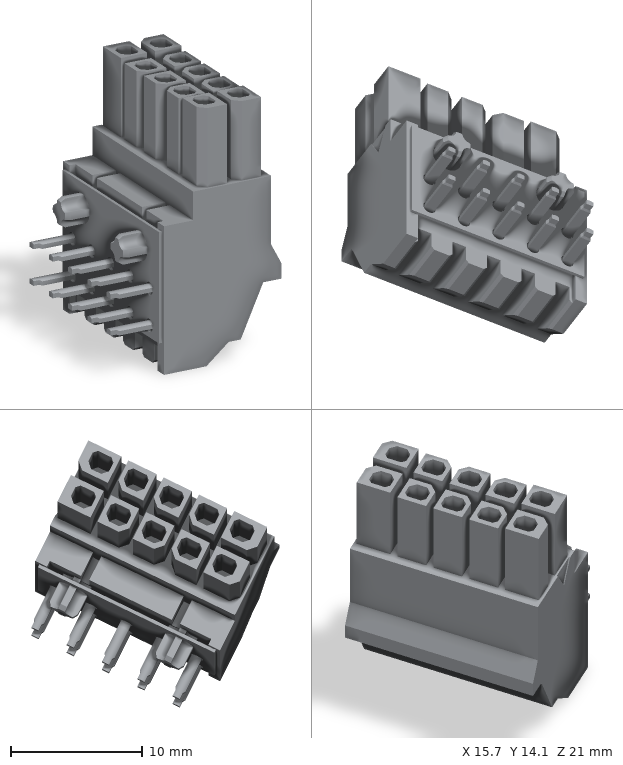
import math

import cadquery as cq

pitch = 3.0
columns = 5
body_width = 15.7
overall_height = 20.98
column_positions = [(i - (columns - 1) / 2) * pitch for i in range(columns)]

ledge_height = 12.15
shoulder_depth = 2.55
shoulder_height = 14.5
back_depth = 9.35
lip_depth = 10.25
lip_bottom = 5.92
lip_top = 7.2
lip_slope_top = 8.9
lip_root_depth = 8.67
underside_step = 1.62
step_back_depth = 6.7
step_front_depth = 5.65
base_depth = 3.7

recess_half_width = 6.85
recess_depth = 0.5
plate_width = 15.0
plate_thickness = 0.25
plate_bottom = 2.5
plate_top = 11.6

notch_width = 1.2
notch_chamfer = 0.25

slot_inner = 3.5
slot_outer = 4.2
slot_floor = 10.07
slot_fillet_width = 0.48
slot_fillet_height = 0.25

row_front_center = 4.48
row_back_center = row_front_center + pitch
post_depth = 2.3
post_half_width = 1.2
end_post_outer_half = 1.6
inner_post_top = 20.75
post_chamfer = 0.6
front_row_chamfers = (0, 1, 1, -1, 1)
back_row_chamfers = (-1, -1, -1, -1, 1)
socket_width = 1.75
socket_depth = 1.5
socket_back_chamfer = 0.3
socket_front_chamfer = 0.45

mark_width = 2.3
mark_height = 1.95
mark_depth = 0.1

peg_x = 4.5
peg_z = 9.5
peg_radius = 1.21
peg_reach = 2.25
peg_bevel_length = 0.38
peg_bevel_depth = 0.24
rib_half_width = 0.28
rib_root = 0.97
flute_radius = rib_root - rib_half_width

pin_hole_radius = 0.53
pin_lower_row_z = 3.48
pin_rows = (pin_lower_row_z, pin_lower_row_z + pitch)
pin_width = 0.85
pin_bottom = -0.15
pin_crown = 0.39
pin_crown_radius = 0.58
pin_shoulder = 3.1
tip_start = 3.3
tip_end = 3.8
tip_width = 0.6
tip_bottom = -0.08


def box(x_range, y_range, z_range):
    """Axis-aligned box between the given limits."""
    size = [b - a for a, b in (x_range, y_range, z_range)]
    return cq.Workplane("XY").box(*size, centered=False).translate((x_range[0], y_range[0], z_range[0]))


def front_plane(y):
    """Plane facing -Y at the given depth; extruding moves toward -Y."""
    return cq.Workplane("XZ", origin=(0, y, 0))


def make_body():
    profile = [
        (0, 0),
        (0, ledge_height),
        (shoulder_depth, ledge_height),
        (shoulder_depth, shoulder_height),
        (back_depth, shoulder_height),
        (back_depth, lip_slope_top),
        (lip_depth, lip_top),
        (lip_depth, lip_bottom),
        (lip_root_depth, lip_bottom),
        (step_back_depth, underside_step),
        (step_front_depth, underside_step),
        (base_depth, 0),
    ]
    body = cq.Workplane("YZ").polyline(profile).close().extrude(body_width / 2, both=True)
    recess = box((-recess_half_width, recess_half_width), (0, recess_depth), (0, ledge_height))
    return body.cut(recess)


def make_notch(x):
    """Comb notch through the underside, with a chamfered mouth."""
    half = notch_width / 2
    outline = [
        (x - half - notch_chamfer, 0),
        (x - half, notch_chamfer),
        (x - half, underside_step),
        (x + half, underside_step),
        (x + half, notch_chamfer),
        (x + half + notch_chamfer, 0),
    ]
    return front_plane(step_front_depth).polyline(outline).close().extrude(step_front_depth)


def make_slot(side):
    """Upright slot whose floor is flat toward the middle of the part and sweeps up at its outer wall."""
    fillet_start = slot_outer - slot_fillet_width
    return (
        front_plane(shoulder_depth)
        .moveTo(side * slot_inner, ledge_height)
        .lineTo(side * slot_inner, slot_floor)
        .lineTo(side * fillet_start, slot_floor)
        .tangentArcPoint((side * slot_outer, slot_floor + slot_fillet_height), relative=False)
        .lineTo(side * slot_outer, ledge_height)
        .close()
        .extrude(shoulder_depth)
    )


def make_mark():
    half = mark_width / 2
    outline = [
        (row_front_center - half, shoulder_height),
        (row_front_center + half, shoulder_height),
        (row_front_center, shoulder_height - mark_height),
    ]
    return cq.Workplane("YZ", origin=(-body_width / 2, 0, 0)).polyline(outline).close().extrude(mark_depth)


def make_post(column, y, chamfer_side):
    """Post with one front corner cut: chamfer_side is -1, +1 or 0 for none."""
    x = column_positions[column]
    is_first = column == 0
    is_last = column == columns - 1
    left = x - (end_post_outer_half if is_first else post_half_width)
    right = x + (end_post_outer_half if is_last else post_half_width)
    top = overall_height if is_first or is_last else inner_post_top
    post = box((left, right), (y - post_depth / 2, y + post_depth / 2), (shoulder_height, top))
    if chamfer_side:
        corner = "<X" if chamfer_side < 0 else ">X"
        post = post.faces("<Y").edges(corner).chamfer(post_chamfer)
    return post.cut(make_socket(x, y))


def make_socket(x, y):
    """Eight-sided contact opening running down the post."""
    socket = box(
        (x - socket_width / 2, x + socket_width / 2),
        (y - socket_depth / 2, y + socket_depth / 2),
        (shoulder_height, overall_height),
    )
    socket = socket.edges("|Z and >Y").chamfer(socket_back_chamfer)
    return socket.edges("|Z").edges("<Y").chamfer(socket_front_chamfer)


def make_plate():
    plate = box((-plate_width / 2, plate_width / 2), (-plate_thickness, 0), (plate_bottom, plate_top))
    peg_holes = front_plane(0).pushPoints([(-peg_x, peg_z), (peg_x, peg_z)])
    pin_points = [(x, z) for x in column_positions for z in pin_rows]
    pin_holes = front_plane(0).pushPoints(pin_points)
    plate = plate.cut(peg_holes.circle(peg_radius).extrude(plate_thickness))
    return plate.cut(pin_holes.circle(pin_hole_radius).extrude(plate_thickness))


def quarter_turns(point, turns):
    """Rotate a 2D point about the origin by whole quarter turns."""
    x, z = point
    for _ in range(turns):
        x, z = -z, x
    return x, z


def make_peg(x):
    """Peg with four ribs, rounded flutes between them and a bevelled end."""
    flute_bottom = rib_root - flute_radius * math.sqrt(0.5)
    rib_side_end = math.sqrt(peg_radius**2 - rib_half_width**2)
    section = front_plane(shoulder_depth).moveTo(rib_root, -rib_half_width)
    for turns in range(4):
        rib_tip = quarter_turns((peg_radius, 0), turns)
        rib_lower_corner = quarter_turns((rib_side_end, -rib_half_width), turns)
        rib_upper_corner = quarter_turns((rib_side_end, rib_half_width), turns)
        flute_start = quarter_turns((rib_root, rib_half_width), turns)
        flute_middle = quarter_turns((flute_bottom, flute_bottom), turns)
        next_rib = quarter_turns((rib_half_width, rib_root), turns)
        section = section.lineTo(*rib_lower_corner).threePointArc(rib_tip, rib_upper_corner)
        section = section.lineTo(*flute_start).threePointArc(flute_middle, next_rib)
    peg = section.close().extrude(shoulder_depth + peg_reach)
    cone_base_depth = shoulder_depth + peg_bevel_length
    cone_length = cone_base_depth + peg_reach
    cone_spread = cone_length * peg_bevel_depth / peg_bevel_length
    envelope = [
        (0, cone_base_depth),
        (peg_radius - peg_bevel_depth + cone_spread, cone_base_depth),
        (peg_radius - peg_bevel_depth, -peg_reach),
        (0, -peg_reach),
    ]
    bevelled = cq.Workplane("XY").polyline(envelope).close().revolve(360, (0, 0, 0), (0, 1, 0))
    return peg.intersect(bevelled).translate((x, 0, peg_z))


def make_pin(x, z):
    """Flat-bottomed pin with a rounded crown, narrowed to a thinner tip."""
    half = pin_width / 2
    tip_half = tip_width / 2
    side_top = pin_crown - pin_crown_radius + math.sqrt(pin_crown_radius**2 - half**2)
    shank = (
        front_plane(recess_depth)
        .moveTo(-half, side_top)
        .lineTo(-half, pin_bottom)
        .lineTo(half, pin_bottom)
        .lineTo(half, side_top)
        .threePointArc((0, pin_crown), (-half, side_top))
        .close()
        .extrude(recess_depth + tip_end)
    )
    plan = [
        (-half, recess_depth),
        (half, recess_depth),
        (half, -pin_shoulder),
        (tip_half, -tip_start),
        (tip_half, -tip_end),
        (-tip_half, -tip_end),
        (-tip_half, -tip_start),
        (-half, -pin_shoulder),
    ]
    side = [
        (recess_depth, pin_crown),
        (recess_depth, pin_bottom),
        (-pin_shoulder, pin_bottom),
        (-tip_start, tip_bottom),
        (-tip_end, tip_bottom),
        (-tip_end, pin_crown),
    ]
    plan_prism = cq.Workplane("XY").polyline(plan).close().extrude(pin_width, both=True)
    side_prism = cq.Workplane("YZ").polyline(side).close().extrude(pin_width, both=True)
    return shank.intersect(plan_prism).intersect(side_prism).translate((x, 0, z))


result = make_body().cut(make_mark())
for x in column_positions:
    result = result.cut(make_notch(x))
for side in (-1, 1):
    result = result.cut(make_slot(side))
result = result.union(make_plate())
for side in (-1, 1):
    result = result.union(make_peg(side * peg_x))
for x in column_positions:
    for z in pin_rows:
        result = result.union(make_pin(x, z))
for column in range(columns):
    result = result.union(make_post(column, row_front_center, front_row_chamfers[column]))
    result = result.union(make_post(column, row_back_center, back_row_chamfers[column]))